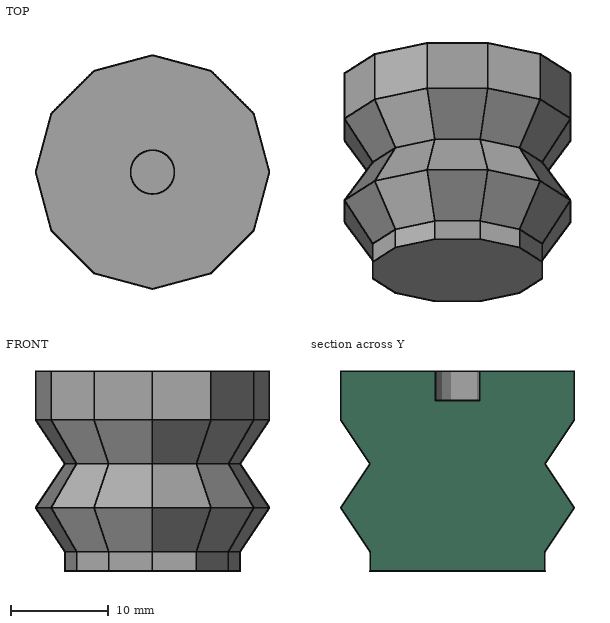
import cadquery as cq

SIDE_COUNT = 12
RIM_DIAMETER = 24.0
WAIST_DIAMETER = 18.0

FOOT_HEIGHT = 2.0
TAPER_HEIGHT = 4.5
HEAD_HEIGHT = 5.0

HOLE_DIAMETER = 4.5
HOLE_DEPTH = 3.0

RIDGE_Z = FOOT_HEIGHT + TAPER_HEIGHT
GROOVE_Z = RIDGE_Z + TAPER_HEIGHT
HEAD_Z = GROOVE_Z + TAPER_HEIGHT
TOP_Z = HEAD_Z + HEAD_HEIGHT


def prism(bottom_z, diameter, height):
    """Straight dodecagonal section."""
    return cq.Workplane("XY", origin=(0, 0, bottom_z)).polygon(SIDE_COUNT, diameter).extrude(height)


def taper(bottom_z, bottom_diameter, top_diameter):
    """Dodecagonal frustum with flat facets."""
    return (
        cq.Workplane("XY", origin=(0, 0, bottom_z))
        .polygon(SIDE_COUNT, bottom_diameter)
        .workplane(offset=TAPER_HEIGHT)
        .polygon(SIDE_COUNT, top_diameter)
        .loft(ruled=True)
    )


def axial_hole():
    """Cylinder to be removed from the top face downwards."""
    return cq.Workplane("XY", origin=(0, 0, TOP_Z)).circle(HOLE_DIAMETER / 2).extrude(-HOLE_DEPTH)


foot = prism(0, WAIST_DIAMETER, FOOT_HEIGHT)
lower_flare = taper(FOOT_HEIGHT, WAIST_DIAMETER, RIM_DIAMETER)
groove_lower_side = taper(RIDGE_Z, RIM_DIAMETER, WAIST_DIAMETER)
groove_upper_side = taper(GROOVE_Z, WAIST_DIAMETER, RIM_DIAMETER)
head = prism(HEAD_Z, RIM_DIAMETER, HEAD_HEIGHT)

body = foot.union(lower_flare).union(groove_lower_side).union(groove_upper_side).union(head)
result = body.cut(axial_hole())